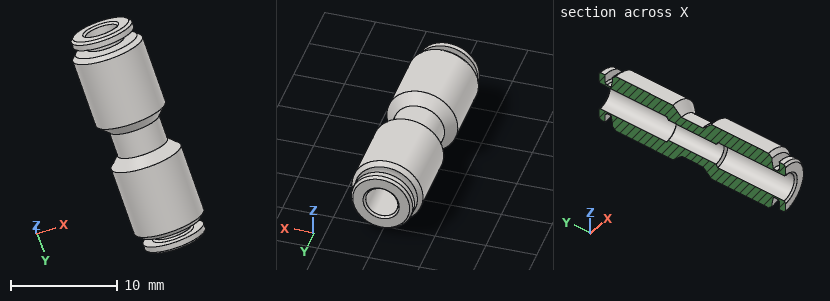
import cadquery as cq
import math


total_length = 22.0
flange_thickness = 0.8
flange_chamfer = 0.24
neck_root_chamfer = 0.2
shoulder_setback = 1.6
body_chamfer = 0.42
waist_length = 2.5
mouth_chamfer = 0.2
tube_depth = 8.0

body_radius = 3.5
waist_radius = 2.5
crown_radius = 2.7
flange_radius = 3.04
neck_radius = 1.84
socket_radius = 1.58
through_bore_radius = 1.25

crown_angle = 10.0
stop_angle = 30.0

end_y = total_length / 2
flange_back_y = end_y - flange_thickness
shoulder_y = end_y - shoulder_setback
crown_y = shoulder_y + (crown_radius - neck_radius) * math.tan(math.radians(crown_angle))
waist_end_y = waist_length / 2
waist_taper = body_radius - waist_radius
tube_stop_y = end_y - tube_depth
stop_drop = (socket_radius - through_bore_radius) * math.tan(math.radians(stop_angle))


def revolve_symmetric(half_outline):
    """Solid of revolution around Y from (y, radius) points running from the middle to the +Y end."""
    other_half = [(-y, radius) for y, radius in reversed(half_outline)]
    profile = cq.Workplane("YZ").polyline(other_half + half_outline).close()
    return profile.revolve(360, (0, 0, 0), (1, 0, 0))


def connector_envelope():
    """Waisted body with a release-sleeve neck and flange at each end, without the bore."""
    return revolve_symmetric([
        (waist_end_y, waist_radius),
        (waist_end_y + waist_taper, body_radius),
        (shoulder_y - body_chamfer, body_radius),
        (shoulder_y, body_radius - body_chamfer),
        (shoulder_y, crown_radius),
        (crown_y, neck_radius),
        (flange_back_y - neck_root_chamfer, neck_radius),
        (flange_back_y, neck_radius + neck_root_chamfer),
        (flange_back_y, flange_radius),
        (end_y - flange_chamfer, flange_radius),
        (end_y, flange_radius - flange_chamfer),
        (end_y, 0),
    ])


def tube_passage():
    """Through bore with a wider tube socket and a chamfered mouth at each end."""
    return revolve_symmetric([
        (tube_stop_y - stop_drop, through_bore_radius),
        (tube_stop_y, socket_radius),
        (end_y - mouth_chamfer, socket_radius),
        (end_y, socket_radius + mouth_chamfer),
        (end_y, 0),
    ])


result = connector_envelope().cut(tube_passage())